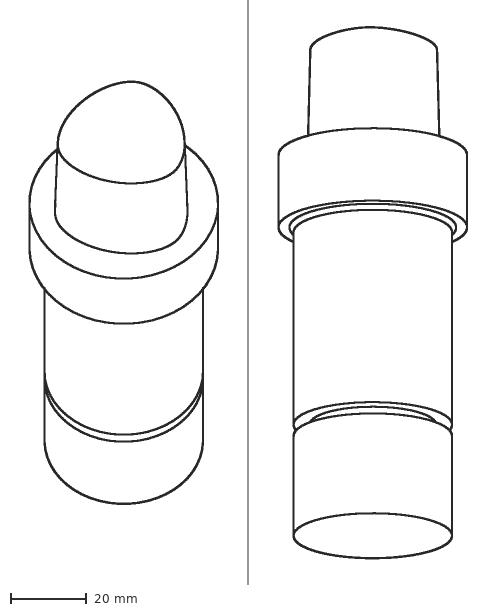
import cadquery as cq
import math

TOTAL_LENGTH = 135.0
TAPER_LENGTH = 30.0
FLANGE_HEIGHT = 20.0
FLANGE_TOP = TOTAL_LENGTH - TAPER_LENGTH
FLANGE_BOTTOM = FLANGE_TOP - FLANGE_HEIGHT

FLANGE_DIAMETER = 50.0
BARREL_DIAMETER = 42.0
BARREL_BOTTOM = 30.6
CONE_DIAMETER = 44.1
CONE_HEIGHT = 1.4
NECK_DIAMETER = 33.5

TAPER_BASE_RADIUS = 17.5
TAPER_RATIO = 1 / 20
TAPER_TOP_RADIUS = TAPER_BASE_RADIUS - TAPER_LENGTH * TAPER_RATIO / 2
LOBE_HEIGHT = 1.12
LOBES = 3
OUTLINE_POINTS = 48

NUT_DIAMETER = BARREL_DIAMETER
NUT_HEIGHT = 27.5


def cylinder(diameter, bottom, top):
    """Cylinder on the Z axis between two heights."""
    return cq.Workplane("XY", origin=(0, 0, bottom)).circle(diameter / 2).extrude(top - bottom)


def lobed_outline_point(mean_radius, angle):
    """Point whose outward normal lies at the given angle on the rounded triangle."""
    reach = mean_radius + LOBE_HEIGHT * math.sin(LOBES * angle)
    slope = LOBES * LOBE_HEIGHT * math.cos(LOBES * angle)
    x = reach * math.cos(angle) - slope * math.sin(angle)
    y = reach * math.sin(angle) + slope * math.cos(angle)
    return x, y


def lobed_wire(mean_radius, height):
    """Closed smooth outline of the taper at one height."""
    points = []
    for index in range(OUTLINE_POINTS):
        angle = 2 * math.pi * index / OUTLINE_POINTS
        x, y = lobed_outline_point(mean_radius, angle)
        points.append(cq.Vector(x, y, height))
    return cq.Wire.assembleEdges([cq.Edge.makeSpline(points, periodic=True)])


def make_taper():
    """Polygonal shank that narrows toward its free end."""
    base = lobed_wire(TAPER_BASE_RADIUS, FLANGE_TOP)
    top = lobed_wire(TAPER_TOP_RADIUS, TOTAL_LENGTH)
    return cq.Workplane(cq.Solid.makeLoft([base, top], True))


def make_holder():
    """Taper, flange, barrel and the neck that rests on the nut."""
    flange = cylinder(FLANGE_DIAMETER, FLANGE_BOTTOM, FLANGE_TOP)
    barrel = cylinder(BARREL_DIAMETER, BARREL_BOTTOM, FLANGE_BOTTOM)
    neck = cylinder(NECK_DIAMETER, NUT_HEIGHT, BARREL_BOTTOM)
    cone = cq.Workplane(
        cq.Solid.makeCone(
            BARREL_DIAMETER / 2,
            CONE_DIAMETER / 2,
            CONE_HEIGHT,
            pnt=cq.Vector(0, 0, FLANGE_BOTTOM - CONE_HEIGHT),
        )
    )
    return flange.union(barrel).union(cone).union(neck).union(make_taper())


def make_nut():
    """Plain round nut below the neck."""
    return cylinder(NUT_DIAMETER, 0, NUT_HEIGHT)


holder = make_holder()
nut = make_nut()

result = cq.Compound.makeCompound([holder.val(), nut.val()])